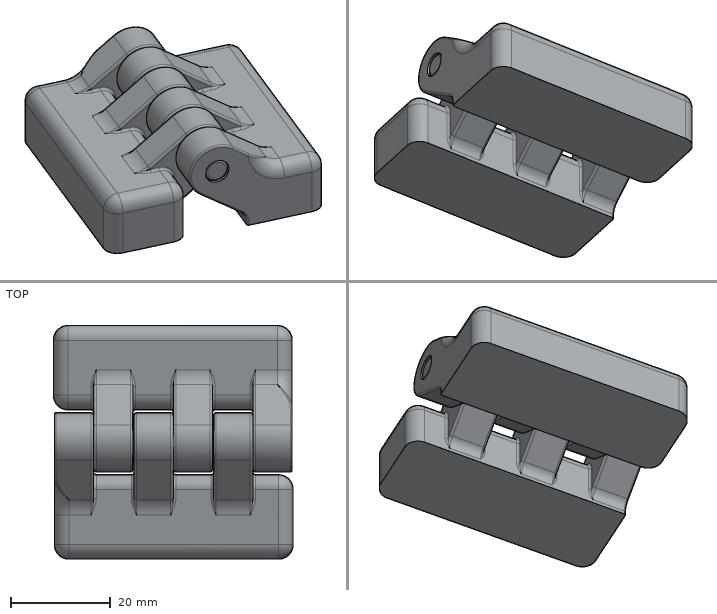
import cadquery as cq
import math

overall_length = 48.2
overall_depth = 47.0

end_shift = 0.2
plate_length = overall_length - end_shift
plate_height = 12.5
plate_round = 3.0
plate_left = -overall_length / 2 + end_shift
outer_wall_y = -overall_depth / 2
inner_wall_y = -6.5

knuckle_count = 3
knuckle_pitch = plate_length / knuckle_count
knuckle_width = (knuckle_pitch - end_shift) / 2
knuckle_radius = 6.0
axis_height = 14.5
arm_angle = math.radians(36)
edge_round = 0.55
end_edge_round = 0.4
top_blend_radius = 5.0
under_blend_radius = 3.0

pick_margin = 0.05

cut_margin = 0.25

pin_diameter = 4.9
bore_diameter = 5.0
pin_end_round = 0.5
pin_recess = 0.2

top_blend_z = plate_height + top_blend_radius
top_blend_y = (
    (top_blend_z - axis_height) * math.cos(arm_angle) - knuckle_radius - top_blend_radius
) / math.sin(arm_angle)

under_blend_y = inner_wall_y + under_blend_radius
under_blend_z = axis_height + (
    under_blend_y * math.sin(arm_angle) - knuckle_radius - under_blend_radius
) / math.cos(arm_angle)


def circle_point(center, radius, angle):
    """Point on a circle in the YZ plane, the angle measured from +Y towards +Z."""
    return (center[0] + radius * math.cos(angle), center[1] + radius * math.sin(angle))


def make_plate():
    """Block with rounded upright corners and a rounded top rim."""
    plate = cq.Workplane("XY").box(
        plate_length, inner_wall_y - outer_wall_y, plate_height, centered=False
    )
    plate = plate.edges("|Z").fillet(plate_round)
    plate = plate.faces(">Z").edges().fillet(plate_round)
    return plate.translate((plate_left, outer_wall_y, 0))


def make_arm(left_x):
    """One sharp-edged knuckle arm, its root buried in the plate and its nose around the pin axis."""
    pin_center = (0, axis_height)
    top_center = (top_blend_y, top_blend_z)
    under_center = (under_blend_y, under_blend_z)
    upper = math.pi / 2 + arm_angle
    lower = upper - math.pi
    return (
        cq.Workplane("YZ", origin=(left_x, 0, 0))
        .moveTo(top_blend_y, 0)
        .lineTo(top_blend_y, plate_height)
        .threePointArc(
            circle_point(top_center, top_blend_radius, (lower - math.pi / 2) / 2),
            circle_point(top_center, top_blend_radius, lower),
        )
        .lineTo(*circle_point(pin_center, knuckle_radius, upper))
        .threePointArc(
            circle_point(pin_center, knuckle_radius, arm_angle),
            circle_point(pin_center, knuckle_radius, lower),
        )
        .lineTo(*circle_point(under_center, under_blend_radius, upper))
        .threePointArc(
            circle_point(under_center, under_blend_radius, (upper + math.pi) / 2),
            (inner_wall_y, under_blend_z),
        )
        .lineTo(inner_wall_y, 0)
        .close()
        .extrude(knuckle_width)
    )


def round_arm_side(arm, side_x, radius):
    """Round the outline of one side of the arm, spreading from the nose along its tangent edges."""
    nose_edge = cq.selectors.BoxSelector(
        (side_x - pick_margin, 0, axis_height - knuckle_radius),
        (side_x + pick_margin, knuckle_radius, axis_height + knuckle_radius),
    )
    return arm.edges(nose_edge).fillet(radius)


def fillet_arm_root(leaf, side_x):
    """Fillet the corner between one side of an arm and the plate, over the rim and down the wall."""
    root_on_top = cq.selectors.BoxSelector(
        (side_x - pick_margin, top_blend_y, plate_height - pick_margin),
        (side_x + pick_margin, inner_wall_y - plate_round, plate_height + pick_margin),
    )
    return leaf.edges(root_on_top).fillet(edge_round)


def make_rim_runout():
    """Cutter that carries the rounded plate rim up along the hollow blend of the end arm."""
    inner_radius = top_blend_radius
    outer_radius = inner_radius + plate_round
    inside_x = plate_left + plate_round
    outside_x = plate_left - cut_margin
    arc_inset = plate_round * (1 - math.sqrt(0.5))
    return (
        cq.Workplane("XZ", origin=(0, top_blend_y, top_blend_z))
        .moveTo(inside_x, -inner_radius)
        .threePointArc(
            (plate_left + arc_inset, -inner_radius - arc_inset),
            (plate_left, -outer_radius),
        )
        .lineTo(outside_x, -outer_radius)
        .lineTo(outside_x, -inner_radius + cut_margin)
        .lineTo(inside_x, -inner_radius + cut_margin)
        .close()
        .revolve(90, (0, 0, 0), (1, 0, 0))
    )


def make_leaf():
    leaf = make_plate()
    for index in range(knuckle_count):
        left_x = plate_left + index * knuckle_pitch
        right_x = left_x + knuckle_width
        is_end_arm = index == 0
        arm = make_arm(left_x)
        if is_end_arm:
            arm = arm.cut(make_rim_runout())
            arm = round_arm_side(arm, left_x, end_edge_round)
        else:
            arm = round_arm_side(arm, left_x, edge_round)
        arm = round_arm_side(arm, right_x, edge_round)
        leaf = leaf.union(arm)
        if not is_end_arm:
            leaf = fillet_arm_root(leaf, left_x)
        leaf = fillet_arm_root(leaf, right_x)
    return leaf


def make_pin():
    """Pin with rounded ends, sunk slightly below the outer faces of the two end knuckles."""
    pin_length = -2 * (plate_left + pin_recess)
    pin = (
        cq.Workplane("YZ", origin=(plate_left + pin_recess, 0, axis_height))
        .circle(pin_diameter / 2)
        .extrude(pin_length)
    )
    return pin.faces("<X or >X").edges().fillet(pin_end_round)


def make_bore_end():
    """Open mouth of the bore, as deep as the rounded end of the pin."""
    return (
        cq.Workplane("YZ", origin=(plate_left, 0, axis_height))
        .circle(bore_diameter / 2)
        .extrude(pin_recess + pin_end_round)
    )


front_leaf = make_leaf().cut(make_bore_end())
back_leaf = front_leaf.rotate((0, 0, 0), (0, 0, 1), 180)
result = front_leaf.union(back_leaf).union(make_pin())